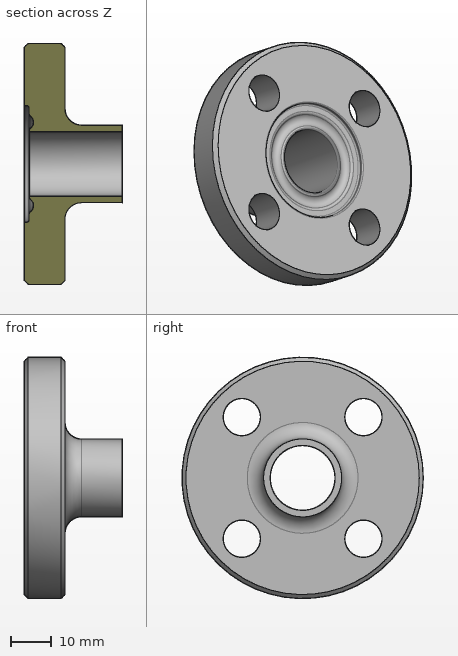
import cadquery as cq
import math

flange_radius = 29.5
flange_thickness = 10.05
flange_chamfer = 1.0
total_length = 24.0
neck_radius = 19.05 / 2
neck_fillet = 4.0
bore_radius = 15.75 / 2

bolt_hole_diameter = 9.0
bolt_circle_diameter = 42.0
bolt_count = 4

recess_radius = 28.4 / 2
recess_depth = 1.2
mouth_round = 0.3
floor_round = 0.4

groove_center_radius = 10.2
groove_arc_radius = 1.75
groove_half_angle = math.radians(53)
outer_blend_radius = 0.95
lip_blend_radius = 0.65
lip_edge_round = 0.2


def arc_point(center, radius, angle):
    """Point (x, r) on an arc; the angle is measured from the +X direction towards +r."""
    return (center[0] + radius * math.cos(angle), center[1] + radius * math.sin(angle))


def make_body():
    """Chamfered disc with a filleted neck on its back, solid through the middle."""
    neck_tangent_x = flange_thickness + neck_fillet
    fillet_center = (neck_tangent_x, neck_radius + neck_fillet)
    profile = (
        cq.Workplane("XY")
        .moveTo(0, 0)
        .lineTo(0, flange_radius - flange_chamfer)
        .lineTo(flange_chamfer, flange_radius)
        .lineTo(flange_thickness - flange_chamfer, flange_radius)
        .lineTo(flange_thickness, flange_radius - flange_chamfer)
        .lineTo(flange_thickness, fillet_center[1])
        .threePointArc(
            arc_point(fillet_center, neck_fillet, math.radians(225)),
            (neck_tangent_x, neck_radius),
        )
        .lineTo(total_length, neck_radius)
        .lineTo(total_length, 0)
        .close()
    )
    return profile.revolve(360, (0, 0, 0), (1, 0, 0))


def make_cavity():
    """Recess, O-ring groove and bore as one revolved cutter."""
    half = groove_half_angle
    mouth_center = (mouth_round, recess_radius + mouth_round)
    floor_center = (recess_depth - floor_round, recess_radius - floor_round)

    outer_center_x = recess_depth + outer_blend_radius
    center_distance = groove_arc_radius + outer_blend_radius
    groove_center = (outer_center_x - center_distance * math.cos(half), groove_center_radius)
    outer_center = arc_point(groove_center, center_distance, half)
    lip_center = arc_point(groove_center, groove_arc_radius + lip_blend_radius, -half)
    lip_x = lip_center[0] - lip_blend_radius
    edge_center = (lip_x + lip_edge_round, bore_radius + lip_edge_round)

    profile = (
        cq.Workplane("XY")
        .moveTo(0, 0)
        .lineTo(0, mouth_center[1])
        .threePointArc(
            arc_point(mouth_center, mouth_round, math.radians(225)),
            (mouth_round, recess_radius),
        )
        .lineTo(floor_center[0], recess_radius)
        .threePointArc(
            arc_point(floor_center, floor_round, math.radians(45)),
            (recess_depth, floor_center[1]),
        )
        .lineTo(recess_depth, outer_center[1])
        .threePointArc(
            arc_point(outer_center, outer_blend_radius, math.pi + half / 2),
            arc_point(groove_center, groove_arc_radius, half),
        )
        .threePointArc(
            arc_point(groove_center, groove_arc_radius, 0),
            arc_point(groove_center, groove_arc_radius, -half),
        )
        .threePointArc(
            arc_point(lip_center, lip_blend_radius, math.pi - half / 2),
            (lip_x, lip_center[1]),
        )
        .lineTo(lip_x, edge_center[1])
        .threePointArc(
            arc_point(edge_center, lip_edge_round, math.radians(225)),
            (edge_center[0], bore_radius),
        )
        .lineTo(total_length, bore_radius)
        .lineTo(total_length, 0)
        .close()
    )
    return profile.revolve(360, (0, 0, 0), (1, 0, 0))


def make_bolt_holes():
    """Through holes on the bolt circle, placed on the diagonals."""
    return (
        cq.Workplane("YZ")
        .polarArray(bolt_circle_diameter / 2, 45, 360, bolt_count)
        .circle(bolt_hole_diameter / 2)
        .extrude(flange_thickness)
    )


result = make_body().cut(make_cavity()).cut(make_bolt_holes())